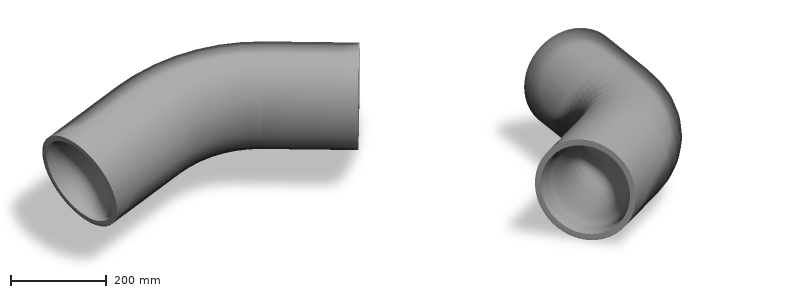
import cadquery as cq
import math

overall_length = 660.0
outer_diameter = 225.0
wall = 13.0
bend_angle = 45.0

outer_radius = outer_diameter / 2
inner_radius = outer_radius - wall
bend_radius = 1.5 * outer_diameter
sine = math.sin(math.radians(bend_angle))
cosine = math.cos(math.radians(bend_angle))

straight_length = (overall_length - (bend_radius + outer_radius) * sine) / (1 + cosine)


def centreline_point(angle_degrees):
    """Point on the bend's centreline arc, which starts at the origin heading +Y."""
    angle = math.radians(angle_degrees)
    return bend_radius * (1 - math.cos(angle)), bend_radius * math.sin(angle)


def bent_rod(radius):
    """Solid round bar: straight end, bend, straight end."""
    bend_end = centreline_point(bend_angle)
    far_end = (bend_end[0] + straight_length * sine, bend_end[1] + straight_length * cosine)
    path = (
        cq.Workplane("XY")
        .moveTo(0, -straight_length)
        .lineTo(0, 0)
        .threePointArc(centreline_point(bend_angle / 2), bend_end)
        .lineTo(*far_end)
    )
    return cq.Workplane("XZ", origin=(0, -straight_length, 0)).circle(radius).sweep(path)


result = bent_rod(outer_radius).cut(bent_rod(inner_radius))